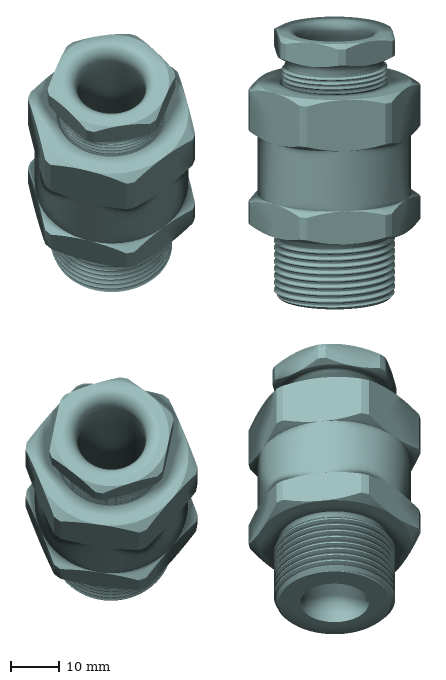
import cadquery as cq
import math

bore_diameter = 14.3
sleeve_diameter = 32.0
seal_diameter = 22.0
hex_chamfer_angle = 30.0

entry_thread_top = 13.6
entry_hex_bottom = 15.0
sleeve_bottom = 22.1
sleeve_top = 35.0
body_nut_top = 46.0
gland_thread_top = 49.9
gland_hex_bottom = 51.9
gland_top = 57.0

large_flats = 32.0
large_corners = 36.0
large_rotation = 0.0

small_flats = 24.0
small_corners = 26.8
small_rotation = 27.9

entry_thread_diameter = 25.3
entry_thread_pitch = 1.5
entry_neck_diameter = 23.7
entry_lead_in = 1.0
entry_neck_overlap = 0.5
entry_run_out = 1.25
gland_thread_diameter = 22.0
gland_thread_pitch = 1.0
gland_neck_diameter = 20.5
thread_depth_ratio = 0.613
thread_crest_ratio = 1 / 8
thread_root_ratio = 1 / 4
ridge_embedding = 0.05
envelope_margin = 0.5
ridge_end_gap = 0.02

neck_fillet = 0.5
mouth_radius = 3.0
body_countersink = 0.5


def cylinder(diameter, bottom, top):
    return cq.Workplane("XY").workplane(offset=bottom).circle(diameter / 2).extrude(top - bottom)


def drilled(body, diameter, bottom, top):
    return body.cut(cylinder(diameter, bottom, top))


def hexagon(flats, corners, rotation, bottom, top):
    """Hexagonal prism with rounded corners and both ends turned to a 30 degree cone.

    With no rotation two of its flats face -X and +X.
    """
    height = top - bottom
    prism = (
        cq.Workplane("XY")
        .workplane(offset=bottom)
        .polygon(6, flats, circumscribed=True)
        .extrude(height)
        .rotate((0, 0, 0), (0, 0, 1), rotation)
    )
    cone_width = (corners - flats) / 2
    cone_height = cone_width * math.tan(math.radians(hex_chamfer_angle))
    turned = cylinder(corners, bottom, top).faces("<Z or >Z").chamfer(cone_height, cone_width)
    return prism.intersect(turned)


def threaded_rod(diameter, pitch, bottom, top):
    """Root cylinder with a right-hand helical ridge that lies wholly between its two ends."""
    crest_radius = diameter / 2
    depth = thread_depth_ratio * pitch
    root_radius = crest_radius - depth
    half_crest = thread_crest_ratio * pitch / 2
    half_root = (1 - thread_root_ratio) * pitch / 2
    flank_slope = (half_root - half_crest) / depth
    buried_radius = root_radius - ridge_embedding
    half_buried = half_root + flank_slope * ridge_embedding
    start = bottom + half_buried + ridge_end_gap
    end = top - half_buried - ridge_end_gap
    helix = cq.Wire.makeHelix(pitch, end - start, buried_radius, center=cq.Vector(0, 0, start))
    profile = [
        (buried_radius, start - half_buried),
        (crest_radius, start - half_crest),
        (crest_radius, start + half_crest),
        (buried_radius, start + half_buried),
    ]
    ridge = cq.Workplane("XZ").polyline(profile).close().sweep(cq.Workplane(helix), isFrenet=True)
    return cylinder(2 * root_radius, bottom, top).union(ridge, clean=False)


def make_entry():
    ridge_top = entry_thread_top + entry_neck_overlap
    thread = threaded_rod(entry_thread_diameter, entry_thread_pitch, -entry_run_out, ridge_top)
    envelope_chamfer = entry_lead_in + envelope_margin
    envelope_diameter = entry_thread_diameter + 2 * envelope_margin
    lead_in = cylinder(envelope_diameter, 0, ridge_top).faces("<Z").chamfer(envelope_chamfer)
    thread = thread.intersect(lead_in, clean=False)
    neck = cylinder(entry_neck_diameter, entry_thread_top, entry_hex_bottom)
    head = hexagon(large_flats, large_corners, large_rotation, entry_hex_bottom, sleeve_bottom)
    return drilled(thread.union(neck).union(head), bore_diameter, 0, sleeve_bottom)


def make_sleeve():
    tube = cylinder(sleeve_diameter, sleeve_bottom, sleeve_top)
    return drilled(tube, seal_diameter, sleeve_bottom, sleeve_top)


def make_seal():
    ring = cylinder(seal_diameter, sleeve_bottom, sleeve_top)
    return drilled(ring, bore_diameter, sleeve_bottom, sleeve_top)


def make_body_nut():
    nut = hexagon(large_flats, large_corners, large_rotation, sleeve_top, body_nut_top)
    nut = drilled(nut, gland_thread_diameter, sleeve_top, body_nut_top)
    return nut.faces(">Z").edges("%CIRCLE").edges(cq.selectors.RadiusNthSelector(0)).chamfer(body_countersink)


def make_gland_nut():
    thread = threaded_rod(gland_thread_diameter, gland_thread_pitch, sleeve_top, gland_thread_top)
    neck = cylinder(gland_neck_diameter, gland_thread_top, gland_hex_bottom)
    head = hexagon(small_flats, small_corners, small_rotation, gland_hex_bottom, gland_top)
    under_head = cq.selectors.BoxSelector(
        (-small_corners, -small_corners, gland_hex_bottom - neck_fillet),
        (small_corners, small_corners, gland_hex_bottom + neck_fillet),
    )
    head = neck.union(head).edges(under_head).edges(cq.selectors.RadiusNthSelector(0)).fillet(neck_fillet)
    head = drilled(head, bore_diameter, gland_thread_top, gland_top)
    head = head.faces(">Z").edges(cq.selectors.RadiusNthSelector(0)).fillet(mouth_radius)
    return drilled(thread, bore_diameter, sleeve_top, gland_thread_top).union(head)


entry = make_entry()
sleeve = make_sleeve()
seal = make_seal()
body_nut = make_body_nut()
gland_nut = make_gland_nut()

bodies = [entry, sleeve, seal, body_nut, gland_nut]
result = cq.Compound.makeCompound([body.solids().val() for body in bodies])